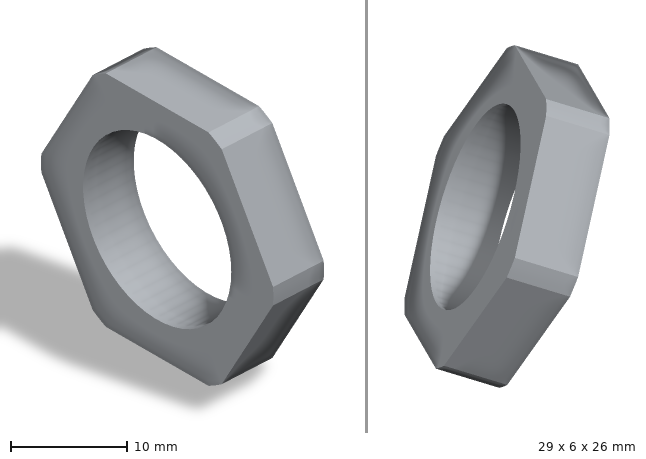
import cadquery as cq
import math

corner_diameter = 29.0
across_flats = 26.0
thickness = 6.0
bore_diameter = 18.5

across_corners = across_flats / math.cos(math.pi / 6)
hexagon = (
    cq.Workplane("XZ")
    .polygon(6, across_corners)
    .extrude(thickness / 2, both=True)
)

corner_cylinder = (
    cq.Workplane("XZ")
    .circle(corner_diameter / 2)
    .extrude(thickness / 2, both=True)
)
nut_body = hexagon.intersect(corner_cylinder)

bore = (
    cq.Workplane("XZ")
    .circle(bore_diameter / 2)
    .extrude(thickness / 2, both=True)
)
result = nut_body.cut(bore)